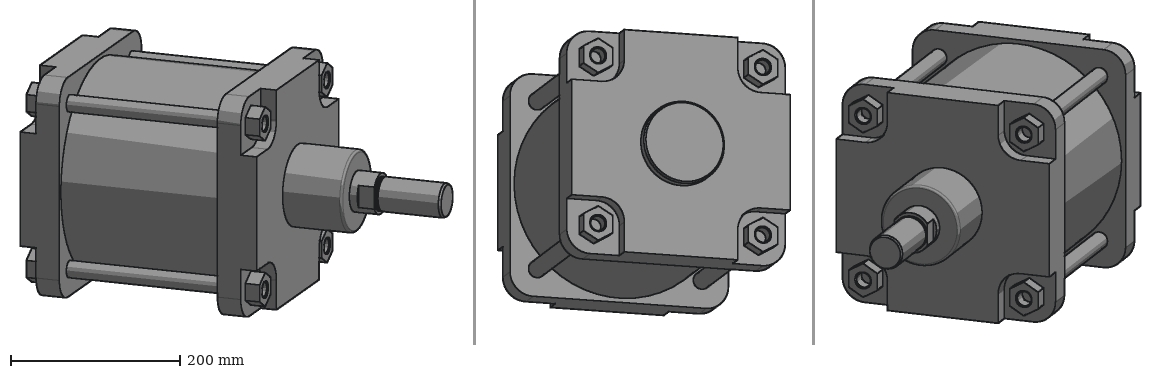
import cadquery as cq
import math

TOTAL_LENGTH = 503.0

HEAD_SIDE = 270.0
HEAD_THICKNESS = 50.0
HEAD_CORNER_RADIUS = 28.0
CORNER_POCKET_SIDE = 65.0
CORNER_POCKET_DEPTH = 20.0
CORNER_POCKET_RADIUS = 28.0
HUB_DIAMETER = 99.5
BOSS_LENGTH = 14.0
BOSS_CHAMFER = 2.0
NOSE_LENGTH = 75.0
NOSE_FILLET_RADIUS = 3.0

BARREL_DIAMETER = 260.0
BARREL_LENGTH = 200.0

TIE_ROD_SPACING = 203.5
TIE_ROD_DIAMETER = 20.5
NUT_ACROSS_FLATS = 36.0
NUT_HEIGHT = 18.0
NUT_BORE_DIAMETER = 17.5
NUT_BORE_CHAMFER = 1.5

COLLAR_DIAMETER = 50.0
COLLAR_LENGTH = 10.0
FLATS_LENGTH = 20.0
FLATS_WIDTH = 42.0
THREAD_DIAMETER = 42.0
THREAD_CHAMFER_LENGTH = 3.0
THREAD_CHAMFER_DEPTH = 1.5
NECK_DIAMETER = 40.5
NECK_LENGTH = 4.5
NECK_TAPER_LENGTH = 1.5

REAR_HEAD_START = BOSS_LENGTH
BARREL_START = REAR_HEAD_START + HEAD_THICKNESS
FRONT_HEAD_START = BARREL_START + BARREL_LENGTH
FRONT_HEAD_END = FRONT_HEAD_START + HEAD_THICKNESS
NOSE_END = FRONT_HEAD_END + NOSE_LENGTH
FLATS_START = NOSE_END + COLLAR_LENGTH
FLATS_END = FLATS_START + FLATS_LENGTH
THREAD_START = FLATS_END + NECK_LENGTH

TIE_ROD_CENTERS = [
    (y_side * TIE_ROD_SPACING / 2, z_side * TIE_ROD_SPACING / 2)
    for y_side in (-1, 1)
    for z_side in (-1, 1)
]


def section_at(x):
    """Sketch plane across the axis, with local x along Y and local y along Z."""
    return cq.Workplane("YZ", origin=(x, 0, 0))


def cylinder(x_start, length, diameter):
    return section_at(x_start).circle(diameter / 2).extrude(length)


def turned(profile):
    """Solid of revolution about the X axis from (x, radius) points of its outer profile."""
    closed_profile = [(profile[0][0], 0), *profile, (profile[-1][0], 0)]
    return cq.Workplane("XY").polyline(closed_profile).close().revolve(360, (0, 0, 0), (1, 0, 0))


def make_head(x_start, pocket_start):
    """Square plate with a pocket and a tie-rod hole at each corner."""
    plate = section_at(x_start).rect(HEAD_SIDE, HEAD_SIDE).extrude(HEAD_THICKNESS)
    plate = plate.edges("|X").fillet(HEAD_CORNER_RADIUS)

    pockets = (
        section_at(pocket_start)
        .rect(HEAD_SIDE, HEAD_SIDE, forConstruction=True)
        .vertices()
        .rect(2 * CORNER_POCKET_SIDE, 2 * CORNER_POCKET_SIDE)
        .extrude(CORNER_POCKET_DEPTH)
        .edges("|X")
        .fillet(CORNER_POCKET_RADIUS)
    )
    holes = (
        section_at(x_start)
        .pushPoints(TIE_ROD_CENTERS)
        .circle(TIE_ROD_DIAMETER / 2)
        .extrude(HEAD_THICKNESS)
    )
    return plate.cut(pockets).cut(holes)


def make_rear_head():
    head = make_head(REAR_HEAD_START, REAR_HEAD_START)
    boss = cylinder(0, BOSS_LENGTH, HUB_DIAMETER).faces("<X").chamfer(BOSS_CHAMFER)
    return head.union(boss)


def make_front_head():
    head = make_head(FRONT_HEAD_START, FRONT_HEAD_END - CORNER_POCKET_DEPTH)
    nose = cylinder(FRONT_HEAD_END, NOSE_LENGTH, HUB_DIAMETER)
    nose = nose.faces(">X").edges().fillet(NOSE_FILLET_RADIUS)
    return head.union(nose)


def make_barrel():
    return cylinder(BARREL_START, BARREL_LENGTH, BARREL_DIAMETER)


def make_nut(x_start):
    """Hexagonal prism with its corners pointing along Z."""
    across_corners = NUT_ACROSS_FLATS / math.cos(math.pi / 6)
    hexagon = section_at(x_start).polygon(6, across_corners).extrude(NUT_HEIGHT)
    return hexagon.rotate((0, 0, 0), (1, 0, 0), 90)


def make_tie_rod(y, z):
    """Rod through both heads, with a nut and a chamfered blind bore at each end."""
    rear_nut_seat = REAR_HEAD_START + CORNER_POCKET_DEPTH
    front_nut_seat = FRONT_HEAD_END - CORNER_POCKET_DEPTH
    rear_nut_end = rear_nut_seat - NUT_HEIGHT

    rod = cylinder(rear_nut_seat, front_nut_seat - rear_nut_seat, TIE_ROD_DIAMETER)
    rod = rod.union(make_nut(rear_nut_end)).union(make_nut(front_nut_seat))
    for bore_start in (rear_nut_end, front_nut_seat):
        rod = rod.cut(cylinder(bore_start, NUT_HEIGHT, NUT_BORE_DIAMETER))
    rod = rod.faces("<X or >X").edges("%CIRCLE").chamfer(NUT_BORE_CHAMFER)
    return rod.translate((0, y, z))


def make_piston_rod():
    """Collar, wrench flats, tapered neck and a plain cylinder for the thread."""
    collar = cylinder(NOSE_END, COLLAR_LENGTH, COLLAR_DIAMETER)
    flats = cylinder(FLATS_START, FLATS_LENGTH, COLLAR_DIAMETER).intersect(
        section_at(FLATS_START).rect(FLATS_WIDTH, COLLAR_DIAMETER).extrude(FLATS_LENGTH)
    )
    thread_radius = THREAD_DIAMETER / 2
    neck_radius = NECK_DIAMETER / 2
    neck_and_thread = turned(
        [
            (FLATS_END, thread_radius),
            (FLATS_END + NECK_TAPER_LENGTH, neck_radius),
            (THREAD_START - NECK_TAPER_LENGTH, neck_radius),
            (THREAD_START, thread_radius),
            (TOTAL_LENGTH - THREAD_CHAMFER_LENGTH, thread_radius),
            (TOTAL_LENGTH, thread_radius - THREAD_CHAMFER_DEPTH),
        ]
    )
    return collar.union(flats).union(neck_and_thread)


rear_head = make_rear_head()
front_head = make_front_head()
barrel = make_barrel()
piston_rod = make_piston_rod()
tie_rods = [make_tie_rod(y, z) for y, z in TIE_ROD_CENTERS]

result = cq.Compound.makeCompound(
    [
        rear_head.val(),
        front_head.val(),
        barrel.val(),
        piston_rod.val(),
        *[tie_rod.val() for tie_rod in tie_rods],
    ]
)